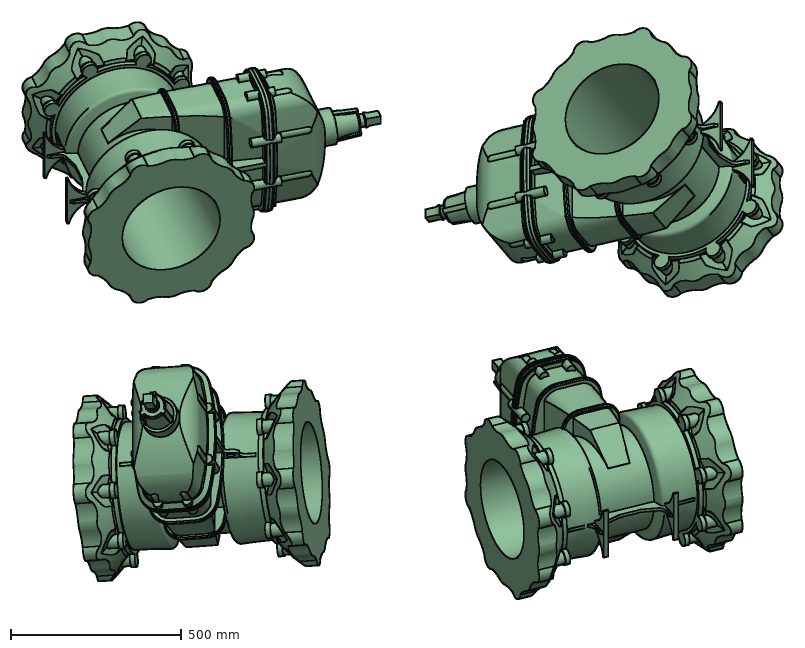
import cadquery as cq
import math


LENGTH = 660.0
BORE_DIA = 300.0
STEM_TOP_Y = 740.0
FLANGE_HALF = 254.765
HALF_LENGTH = LENGTH / 2

LOBES = 8
LOBE_STEP = 360.0 / LOBES
LOBE_RADIUS = 33.0
LOBE_ARC_HALF = 61.0
LOBE_CENTRE_R = (FLANGE_HALF - LOBE_RADIUS) / math.cos(math.radians(LOBE_STEP / 2))
BUMP_R = 254.0
BUMP_END_R = 253.0
BUMP_HALF_ANGLE = 3.0
DIP_R = 249.5
DIP_ANGLE = 9.5
FLANGE_CONE_SUM = -20.0
CONE_FOOT_X = -255.0
CONE_FOOT_R = FLANGE_CONE_SUM - CONE_FOOT_X
CONE_CLEARANCE = 5.0
CONE_TOP_R = LOBE_CENTRE_R + LOBE_RADIUS + CONE_CLEARANCE
CONE_TOP_X = FLANGE_CONE_SUM - CONE_TOP_R

RING_OUTER_X = -229.0
RING_INNER_X = -213.5
RING_R = 200.0
RING_CREST_X = -228.0
NECK_FOOT_X = -232.0
NECK_FOOT_R = 211.0
BARREL_OUTER_X = -204.0
BARREL_OUTER_R = 189.0
BARREL_INNER_X = -105.0
BARREL_INNER_R = 193.5
SHOULDER_X = -95.0
SHOULDER_R = 183.0
SHOULDER_FOOT_X = -88.0
SHOULDER_BULGE = 3.5
TUBE_R = 158.0

PIPE_BOLT_R = 215.0
PIPE_BOLT_DIA = 40.0
PIPE_BOLT_TIP_X = -280.0
COLLAR_DIA = 47.0
VALLEY_HIGH_X = -279.0
VALLEY_HIGH_R = 259.0
VALLEY_LOW_X = -241.0
VALLEY_LOW_R = 195.0
VALLEY_HALF_WIDTH = 46.0
VALLEY_DEPTH = 8.0
VALLEY_CLEARANCE = 50.0
VALLEY_OVERRUN = 0.5

OVAL_FLAT_X = 36.0

HOUSING_HALF_Z = 202.0
HOUSING_HALF_X = 100.0
HOUSING_OVAL = (HOUSING_HALF_X, HOUSING_HALF_Z, OVAL_FLAT_X, 85.0, 158.0)
HOUSING_TOP_HALF = 96.0
HOUSING_TOP_Y = 357.0
HOUSING_END_HALF = 35.0
HOUSING_END_Y = -103.0
HOUSING_END_Z = 121.0
SLOPE_START_Y = -5.0

RING_THICK = 14.0
RING_BEVEL = 4.0
UPPER_RING_Y = 246.5
UPPER_RING_OVAL = (121.0, 217.0, OVAL_FLAT_X, 104.0, 160.0)
LOWER_RING_Y = 92.5
LOWER_RING_OVAL = (108.0, 212.0, OVAL_FLAT_X, 92.0, 160.0)

JOINT_OVAL = (124.0, 222.0, OVAL_FLAT_X, 107.0, 163.0)
JOINT_TOP_Y = 382.0
JOINT_BEVEL_Y = 394.0
JOINT_BEVEL = 17.0
JOINT_LOWER_Y = 367.0
JOINT_UPPER_Y = 377.0
JOINT_STEP = 1.5
JOINT_LIP_Y = 352.5
JOINT_LIP = 5.0
BONNET_HALF_X = 103.0
BONNET_HALF_Z = HOUSING_HALF_Z
BONNET_OVAL = (BONNET_HALF_X, BONNET_HALF_Z, OVAL_FLAT_X, 85.0, 158.0)
BONNET_TOP_Y = 557.0
CROWN_R = 290.0
CROWN_FOOT_Y = 510.0
SHOULDER_MID = (473.0, 189.0)
SHOULDER_FOOT_Y = 421.0
CHEEK_FOOT_Y = 483.0
CHEEK_FOOT_X = 100.0
CHEEK_MID = (87.0, 528.0)

BONNET_BOLT_DIA = 28.0
BONNET_BOLT_TOP_Y = 404.0
SIDE_BOLT_X = 107.0
SIDE_BOLT_Z = 80.0
SIDE_HOOD_X = 90.0
SIDE_NUT_Y = 312.0
SIDE_HOOD_TOP_Y = 505.0
FACE_BOLT_X = 44.0
FACE_BOLT_Z = 204.0
FACE_HOOD_Z = 190.0
FACE_NUT_Y = 318.0
FACE_HOOD_TOP_Y = 458.0

NECK_R = 55.0
NECK_TOP_Y = 595.0
GLAND_FOOT_R = 46.0
GLAND_WAIST_R = 40.0
GLAND_WAIST_Y = 632.0
GLAND_RIM_R = 38.0
GLAND_RIM_Y = 667.0
GLAND_TOP_R = 34.0
GLAND_TOP_Y = 673.0
GLAND_RIBS = 3
GLAND_RIB_WIDTH = 15.0
GLAND_RIB_FOOT_R = 48.0
GLAND_RIB_TOP_R = 43.0
STEM_DIA = 40.0
COLLAR_TOP_Y = 690.0
SQUARE_FOOT_Y = 694.0
SQUARE_FOOT = 34.0
SQUARE_WIDTH = 28.0
SQUARE_TAPER_Y = 707.0

WEB_THICK = 10.0
WEB_END_X = -204.0
WEB_EDGE_R = 191.5
RIB_THICK = 16.0
RIB_HALF_X = 121.0
EAR_FILLET_MID = (-125.0, 240.0)
EAR_TOP_INNER = (-132.0, 238.0)
EAR_TOP_OUTER = (-144.0, 236.0)
EAR_CORNER_MID = (-157.0, 229.0)
EAR_SIDE = (-160.0, 215.0)
EAR_FLARE_MID = (-164.0, 198.0)
EAR_FLARE_END_X = -180.0
EAR_HOLE_X = 135.5
EAR_HOLE_Y = 215.5
EAR_HOLE_LENGTH = 25.0
EAR_HOLE_WIDTH = 19.0
LEG_FLARE_START_X = -155.0
LEG_OUTER_FLARE_MID = (-133.0, -198.0)
LEG_OUTER_TOP = (-128.0, -215.0)
LEG_OUTER_FOOT = (-127.0, -236.0)
LEG_BOTTOM_Y = -246.0
LEG_INNER_FOOT = (-100.0, -236.0)
LEG_INNER_TOP = (-98.0, -215.0)
LEG_INNER_FLARE_MID = (-92.0, -202.0)
LEG_INNER_FLARE_END = (-80.0, -195.0)
LOWER_WEB_FLAT_X = -35.0
LOWER_WEB_Y = -182.0
FOOT_X = 113.5
FOOT_THICK = 15.0
FOOT_HALF_Z = 80.0
FOOT_PAD = 5.0
FOOT_ROOT_HALF_Z = 10.0
FOOT_ROOT_Y = -185.0
FOOT_CURVE_MID = (-231.0, 42.0)


def polar(radius, degrees):
    angle = math.radians(degrees)
    return (radius * math.cos(angle), radius * math.sin(angle))


def lobe_point(lobe_angle, offset):
    """Point on a lobe arc, `offset` degrees round from the lobe's tip."""
    cx, cy = polar(LOBE_CENTRE_R, lobe_angle)
    dx, dy = polar(LOBE_RADIUS, lobe_angle + offset)
    return (cx + dx, cy + dy)


def with_mirror(shape):
    """The shape together with its mirror image across the YZ plane."""
    return shape.union(shape.mirror("YZ"))


def y_cylinder(x, z, diameter, y_from, y_to):
    plane = cq.Plane(origin=(x, y_from, z), xDir=(1, 0, 0), normal=(0, 1, 0))
    return cq.Workplane(plane).circle(diameter / 2).extrude(y_to - y_from)


def oval(half_x, half_z, flat_x, seam_x, seam_z):
    """Closed oval in the XZ plane.

    Flat ends at +-half_z run into corner arcs tangent to them. Each corner arc meets a shallow
    side arc, bulging to +-half_x, at the seam point.
    """
    run = seam_x - flat_x
    drop = half_z - seam_z
    radius = (run**2 + drop**2) / (2 * drop)
    half_sweep = math.atan2(drop, run)
    mid_x = flat_x + radius * math.sin(half_sweep)
    mid_z = half_z - radius * (1 - math.cos(half_sweep))
    return (
        cq.Workplane("XZ")
        .moveTo(-flat_x, half_z)
        .lineTo(flat_x, half_z)
        .threePointArc((mid_x, mid_z), (seam_x, seam_z))
        .threePointArc((half_x, 0), (seam_x, -seam_z))
        .threePointArc((mid_x, -mid_z), (flat_x, -half_z))
        .lineTo(-flat_x, -half_z)
        .threePointArc((-mid_x, -mid_z), (-seam_x, -seam_z))
        .threePointArc((-half_x, 0), (-seam_x, seam_z))
        .threePointArc((-mid_x, mid_z), (-flat_x, half_z))
        .close()
    )


def inset_oval(size, inset):
    """Oval sizes drawn in all round by `inset`, keeping the flats' length."""
    half_x, half_z, flat_x, seam_x, seam_z = size
    return (half_x - inset, half_z - inset, flat_x, seam_x - inset, seam_z)


def oval_plate(y_from, y_to, size):
    return oval(*size).extrude(y_from - y_to).translate((0, y_from, 0))


def oval_taper(y_from, y_to, size_from, size_to):
    """Solid blending one oval into another along Y."""
    lower = oval(*size_from).val().translate(cq.Vector(0, y_from, 0))
    upper = oval(*size_to).val().translate(cq.Vector(0, y_to, 0))
    return cq.Workplane(cq.Solid.makeLoft([lower, upper], True))


def end_flange():
    """Lobed flange at -X with a 45 degree cone behind it."""
    outline = cq.Workplane("YZ").moveTo(*polar(BUMP_END_R, -BUMP_HALF_ANGLE))
    for i in range(LOBES):
        bump = i * LOBE_STEP
        lobe = bump + LOBE_STEP / 2
        next_bump = bump + LOBE_STEP
        outline = (
            outline
            .threePointArc(polar(BUMP_R, bump), polar(BUMP_END_R, bump + BUMP_HALF_ANGLE))
            .threePointArc(polar(DIP_R, bump + DIP_ANGLE), lobe_point(lobe, -LOBE_ARC_HALF))
            .threePointArc(lobe_point(lobe, 0), lobe_point(lobe, LOBE_ARC_HALF))
            .threePointArc(
                polar(DIP_R, next_bump - DIP_ANGLE),
                polar(BUMP_END_R, next_bump - BUMP_HALF_ANGLE),
            )
        )
    lobed = outline.close().extrude(HALF_LENGTH + RING_INNER_X).translate((-HALF_LENGTH, 0, 0))
    back = (
        cq.Workplane("XY")
        .moveTo(-HALF_LENGTH, 0)
        .lineTo(-HALF_LENGTH, CONE_TOP_R)
        .lineTo(CONE_TOP_X, CONE_TOP_R)
        .lineTo(CONE_FOOT_X, CONE_FOOT_R)
        .lineTo(NECK_FOOT_X, NECK_FOOT_R)
        .lineTo(RING_CREST_X, RING_R)
        .lineTo(RING_INNER_X, RING_R)
        .lineTo(RING_INNER_X, 0)
        .close()
        .revolve(360, (0, 0, 0), (1, 0, 0))
    )
    return lobed.intersect(back)


def bolt_valley():
    """V-shaped cutter that slopes from the back cone of the flange down to its neck."""
    run = cq.Vector(VALLEY_LOW_X - VALLEY_HIGH_X, VALLEY_LOW_R - VALLEY_HIGH_R, 0)
    overrun = run * VALLEY_OVERRUN
    start = cq.Vector(VALLEY_HIGH_X, VALLEY_HIGH_R, 0) - overrun
    plane = cq.Plane(origin=start.toTuple(), xDir=(0, 0, -1), normal=run.toTuple())
    groove = (
        cq.Workplane(plane)
        .lineTo(VALLEY_HALF_WIDTH, VALLEY_DEPTH)
        .lineTo(VALLEY_HALF_WIDTH, VALLEY_CLEARANCE)
        .lineTo(-VALLEY_HALF_WIDTH, VALLEY_CLEARANCE)
        .lineTo(-VALLEY_HALF_WIDTH, VALLEY_DEPTH)
        .close()
        .extrude((1 + 2 * VALLEY_OVERRUN) * run.Length)
    )
    neck = cq.Workplane("YZ", origin=(-HALF_LENGTH, 0, 0)).circle(RING_R).extrude(HALF_LENGTH)
    ring = (
        cq.Workplane("YZ", origin=(RING_OUTER_X, 0, 0))
        .circle(CONE_TOP_R)
        .extrude(RING_INNER_X - RING_OUTER_X)
    )
    return groove.cut(neck).cut(ring)


def flange_bolts(flange):
    """Cuts a sloping valley and adds a collared bolt at every lobe."""
    bolt = (
        cq.Workplane("YZ", origin=(PIPE_BOLT_TIP_X, 0, 0))
        .circle(PIPE_BOLT_DIA / 2)
        .extrude(RING_INNER_X - PIPE_BOLT_TIP_X)
    )
    collar = (
        cq.Workplane("YZ", origin=(RING_OUTER_X, 0, 0))
        .circle(COLLAR_DIA / 2)
        .extrude(RING_INNER_X - RING_OUTER_X)
    )
    bolt = bolt.union(collar)
    valley = bolt_valley()
    bolt = bolt.translate((0, PIPE_BOLT_R, 0))
    for i in range(LOBES):
        angle = (i + 0.5) * LOBE_STEP
        flange = flange.cut(valley.rotate((0, 0, 0), (1, 0, 0), angle))
        flange = flange.union(bolt.rotate((0, 0, 0), (1, 0, 0), angle))
    return flange


def barrel():
    """Barrel and half of the middle tube on the -X side."""
    return (
        cq.Workplane("XY")
        .moveTo(RING_INNER_X, 0)
        .lineTo(RING_INNER_X, BARREL_OUTER_R)
        .lineTo(BARREL_OUTER_X, BARREL_OUTER_R)
        .lineTo(BARREL_INNER_X, BARREL_INNER_R)
        .threePointArc(
            (SHOULDER_X - SHOULDER_BULGE, SHOULDER_R + 2 * SHOULDER_BULGE),
            (SHOULDER_X, SHOULDER_R),
        )
        .lineTo(SHOULDER_FOOT_X, TUBE_R)
        .lineTo(0, TUBE_R)
        .lineTo(0, 0)
        .close()
        .revolve(360, (0, 0, 0), (1, 0, 0))
    )


def housing():
    """Gate housing: an oval prism narrowed to a wedge in XY and sloped off at its lower end."""
    prism = oval_plate(HOUSING_END_Y, HOUSING_TOP_Y, HOUSING_OVAL)
    wedge = (
        cq.Workplane("XY")
        .moveTo(-HOUSING_TOP_HALF, HOUSING_TOP_Y)
        .lineTo(HOUSING_TOP_HALF, HOUSING_TOP_Y)
        .lineTo(HOUSING_END_HALF, HOUSING_END_Y)
        .lineTo(-HOUSING_END_HALF, HOUSING_END_Y)
        .close()
        .extrude(HOUSING_HALF_Z, both=True)
    )
    side = (
        cq.Workplane("YZ")
        .moveTo(HOUSING_TOP_Y, HOUSING_HALF_Z)
        .lineTo(SLOPE_START_Y, HOUSING_HALF_Z)
        .lineTo(HOUSING_END_Y, HOUSING_END_Z)
        .lineTo(HOUSING_END_Y, -HOUSING_END_Z)
        .lineTo(SLOPE_START_Y, -HOUSING_HALF_Z)
        .lineTo(HOUSING_TOP_Y, -HOUSING_HALF_Z)
        .close()
        .extrude(HOUSING_HALF_X, both=True)
    )
    return prism.intersect(wedge).intersect(side)


def stiffening_ring(centre_y, outer):
    """Oval plate across the housing with both rims bevelled."""
    inner = inset_oval(outer, RING_BEVEL)
    half = RING_THICK / 2
    flat = half - RING_BEVEL
    ring = oval_plate(centre_y - flat, centre_y + flat, outer)
    ring = ring.union(oval_taper(centre_y - half, centre_y - flat, inner, outer))
    return ring.union(oval_taper(centre_y + flat, centre_y + half, outer, inner))


def bonnet_joint():
    """Bolted joint: stepped oval flange with a bevel up to the bonnet."""
    lip = inset_oval(JOINT_OVAL, JOINT_LIP)
    plate = inset_oval(JOINT_OVAL, JOINT_STEP)
    rim = inset_oval(JOINT_OVAL, JOINT_BEVEL)
    joint = oval_plate(JOINT_LIP_Y, HOUSING_TOP_Y, lip)
    joint = joint.union(oval_plate(HOUSING_TOP_Y, JOINT_LOWER_Y, plate))
    joint = joint.union(oval_plate(JOINT_LOWER_Y, JOINT_UPPER_Y, JOINT_OVAL))
    joint = joint.union(oval_plate(JOINT_UPPER_Y, JOINT_TOP_Y, plate))
    return joint.union(oval_taper(JOINT_TOP_Y, JOINT_BEVEL_Y, plate, rim))


def bonnet():
    """Bonnet: an oval prism rounded off by a dome profile in each side direction."""
    prism = oval_plate(JOINT_TOP_Y, BONNET_TOP_Y, BONNET_OVAL)
    crown_foot_z = math.sqrt(CROWN_R**2 - (CROWN_FOOT_Y - BONNET_TOP_Y + CROWN_R) ** 2)
    shoulder_y, shoulder_z = SHOULDER_MID
    long_profile = (
        cq.Workplane("YZ")
        .moveTo(JOINT_TOP_Y, -BONNET_HALF_Z)
        .lineTo(SHOULDER_FOOT_Y, -BONNET_HALF_Z)
        .threePointArc((shoulder_y, -shoulder_z), (CROWN_FOOT_Y, -crown_foot_z))
        .threePointArc((BONNET_TOP_Y, 0), (CROWN_FOOT_Y, crown_foot_z))
        .threePointArc((shoulder_y, shoulder_z), (SHOULDER_FOOT_Y, BONNET_HALF_Z))
        .lineTo(JOINT_TOP_Y, BONNET_HALF_Z)
        .close()
        .extrude(BONNET_HALF_X, both=True)
    )
    cheek_x, cheek_y = CHEEK_MID
    short_profile = (
        cq.Workplane("XY")
        .moveTo(-BONNET_HALF_X, JOINT_TOP_Y)
        .lineTo(-CHEEK_FOOT_X, CHEEK_FOOT_Y)
        .threePointArc((-cheek_x, cheek_y), (-NECK_R, BONNET_TOP_Y))
        .lineTo(NECK_R, BONNET_TOP_Y)
        .threePointArc((cheek_x, cheek_y), (CHEEK_FOOT_X, CHEEK_FOOT_Y))
        .lineTo(BONNET_HALF_X, JOINT_TOP_Y)
        .close()
        .extrude(BONNET_HALF_Z, both=True)
    )
    return prism.intersect(long_profile).intersect(short_profile)


def bonnet_bolts():
    """Eight bolts through the joint, each with a hood merging into the bonnet above it."""
    bolts = cq.Workplane("XY")
    for sx in (-1, 1):
        for sz in (-1, 1):
            bolt_places = (
                (SIDE_BOLT_X, SIDE_BOLT_Z, SIDE_NUT_Y),
                (FACE_BOLT_X, FACE_BOLT_Z, FACE_NUT_Y),
            )
            for x, z, nut_y in bolt_places:
                bolt = y_cylinder(sx * x, sz * z, BONNET_BOLT_DIA, nut_y, BONNET_BOLT_TOP_Y)
                bolts = bolts.union(bolt)
            hood_places = (
                (SIDE_HOOD_X, SIDE_BOLT_Z, SIDE_HOOD_TOP_Y),
                (FACE_BOLT_X, FACE_HOOD_Z, FACE_HOOD_TOP_Y),
            )
            for x, z, tip_y in hood_places:
                centre_y = tip_y - BONNET_BOLT_DIA / 2
                hood = y_cylinder(sx * x, sz * z, BONNET_BOLT_DIA, JOINT_TOP_Y, centre_y)
                tip = cq.Workplane("XY").sphere(BONNET_BOLT_DIA / 2)
                bolts = bolts.union(hood).union(tip.translate((sx * x, centre_y, sz * z)))
    return bolts


def stem():
    """Neck, ribbed gland and the stem with its square end."""
    turned = (
        cq.Workplane("XY")
        .moveTo(0, JOINT_BEVEL_Y)
        .lineTo(NECK_R, JOINT_BEVEL_Y)
        .lineTo(NECK_R, NECK_TOP_Y)
        .lineTo(GLAND_FOOT_R, NECK_TOP_Y)
        .lineTo(GLAND_WAIST_R, GLAND_WAIST_Y)
        .lineTo(GLAND_RIM_R, GLAND_RIM_Y)
        .lineTo(GLAND_TOP_R, GLAND_TOP_Y)
        .lineTo(STEM_DIA / 2, GLAND_TOP_Y)
        .lineTo(STEM_DIA / 2, COLLAR_TOP_Y)
        .lineTo(SQUARE_FOOT / 2, SQUARE_FOOT_Y)
        .lineTo(0, SQUARE_FOOT_Y)
        .close()
        .revolve(360, (0, 0, 0), (0, 1, 0))
    )
    gland_rib = (
        cq.Workplane("YZ")
        .moveTo(NECK_TOP_Y, 0)
        .lineTo(NECK_TOP_Y, GLAND_RIB_FOOT_R)
        .lineTo(GLAND_TOP_Y, GLAND_RIB_TOP_R)
        .lineTo(GLAND_TOP_Y, 0)
        .close()
        .extrude(GLAND_RIB_WIDTH / 2, both=True)
    )
    for i in range(GLAND_RIBS):
        turned = turned.union(gland_rib.rotate((0, 0, 0), (0, 1, 0), i * 360.0 / GLAND_RIBS))
    square_foot = (
        cq.Workplane("XZ", origin=(0, SQUARE_FOOT_Y, 0))
        .rect(SQUARE_FOOT, SQUARE_FOOT)
        .workplane(offset=SQUARE_FOOT_Y - SQUARE_TAPER_Y)
        .rect(SQUARE_WIDTH, SQUARE_WIDTH)
        .loft()
    )
    square = (
        cq.Workplane("XZ", origin=(0, SQUARE_TAPER_Y, 0))
        .rect(SQUARE_WIDTH, SQUARE_WIDTH)
        .extrude(SQUARE_TAPER_Y - STEM_TOP_Y)
    )
    return turned.union(square_foot).union(square)


def side_rib():
    """Rib on the mid plane from the lifting ears up to the bonnet joint."""
    return (
        cq.Workplane("XY")
        .rect(2 * RIB_HALF_X, HOUSING_TOP_Y - UPPER_RING_Y)
        .extrude(RIB_THICK / 2, both=True)
        .translate((0, (HOUSING_TOP_Y + UPPER_RING_Y) / 2, 0))
    )


def lifting_ear():
    """Ear on the -X side with a slotted lifting hole."""
    ear = (
        cq.Workplane("XY")
        .moveTo(0, UPPER_RING_Y)
        .lineTo(-RIB_HALF_X, UPPER_RING_Y)
        .threePointArc(EAR_FILLET_MID, EAR_TOP_INNER)
        .lineTo(*EAR_TOP_OUTER)
        .threePointArc(EAR_CORNER_MID, EAR_SIDE)
        .threePointArc(EAR_FLARE_MID, (EAR_FLARE_END_X, WEB_EDGE_R))
        .lineTo(WEB_END_X, WEB_EDGE_R)
        .lineTo(WEB_END_X, BORE_DIA / 2)
        .lineTo(0, BORE_DIA / 2)
        .close()
        .extrude(WEB_THICK / 2, both=True)
    )
    slot = (
        cq.Workplane("XY", origin=(-EAR_HOLE_X, EAR_HOLE_Y, 0))
        .slot2D(EAR_HOLE_LENGTH, EAR_HOLE_WIDTH)
        .extrude(WEB_THICK, both=True)
    )
    return ear.cut(slot)


def foot():
    """Half of the lower web with the cross plate of one foot, on the -X side."""
    web = (
        cq.Workplane("XY")
        .moveTo(0, -BORE_DIA / 2)
        .lineTo(WEB_END_X, -BORE_DIA / 2)
        .lineTo(WEB_END_X, -WEB_EDGE_R)
        .lineTo(LEG_FLARE_START_X, -WEB_EDGE_R)
        .threePointArc(LEG_OUTER_FLARE_MID, LEG_OUTER_TOP)
        .lineTo(*LEG_OUTER_FOOT)
        .lineTo(-FOOT_X - FOOT_THICK / 2, LEG_BOTTOM_Y)
        .lineTo(-FOOT_X + FOOT_THICK / 2, LEG_BOTTOM_Y)
        .lineTo(*LEG_INNER_FOOT)
        .lineTo(*LEG_INNER_TOP)
        .threePointArc(LEG_INNER_FLARE_MID, LEG_INNER_FLARE_END)
        .lineTo(LOWER_WEB_FLAT_X, LOWER_WEB_Y)
        .lineTo(0, LOWER_WEB_Y)
        .close()
        .extrude(WEB_THICK / 2, both=True)
    )
    pad_y = -FLANGE_HALF + FOOT_PAD
    curve_y, curve_z = FOOT_CURVE_MID
    plate = (
        cq.Workplane("YZ")
        .moveTo(-FLANGE_HALF, -FOOT_HALF_Z)
        .lineTo(-FLANGE_HALF, FOOT_HALF_Z)
        .lineTo(pad_y, FOOT_HALF_Z)
        .threePointArc((curve_y, curve_z), (FOOT_ROOT_Y, FOOT_ROOT_HALF_Z))
        .lineTo(FOOT_ROOT_Y, -FOOT_ROOT_HALF_Z)
        .threePointArc((curve_y, -curve_z), (pad_y, -FOOT_HALF_Z))
        .close()
        .extrude(FOOT_THICK / 2, both=True)
        .translate((-FOOT_X, 0, 0))
    )
    return web.union(plate)


half_pipe = flange_bolts(end_flange()).union(barrel()).union(lifting_ear()).union(foot())
bore = cq.Workplane("YZ").circle(BORE_DIA / 2).extrude(HALF_LENGTH, both=True)

body = with_mirror(half_pipe).union(housing()).union(side_rib())
body = body.union(stiffening_ring(UPPER_RING_Y, UPPER_RING_OVAL))
body = body.union(stiffening_ring(LOWER_RING_Y, LOWER_RING_OVAL))
top_works = bonnet_joint().union(bonnet()).union(bonnet_bolts()).union(stem())
result = body.union(top_works).cut(bore)